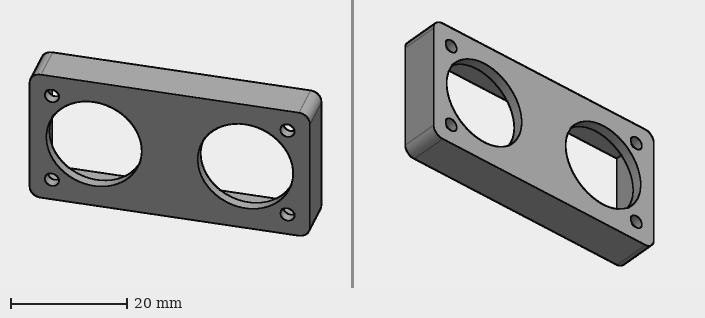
import cadquery as cq

LENGTH = 50.0
DEPTH = 7.5
HEIGHT = 25.0
CORNER_RADIUS = 2.0

SIDE_WALL = 2.0
FRONT_WALL = 2.0

OPENING_DIAMETER = 17.0
OPENING_SPACING = 27.0
SCREW_DIAMETER = 2.5
SCREW_SPACING_X = 42.0
SCREW_SPACING_Z = 17.0

FRONT_Y = -DEPTH / 2
CAVITY_DEPTH = DEPTH - FRONT_WALL


def make_body():
    """Block with its four edges along Y rounded."""
    return cq.Workplane("XY").box(LENGTH, DEPTH, HEIGHT).edges("|Y").fillet(CORNER_RADIUS)


def make_cavity():
    """Rectangular pocket running from the front wall to the open back."""
    return cq.Workplane("XY").box(
        LENGTH - 2 * SIDE_WALL, CAVITY_DEPTH, HEIGHT - 2 * SIDE_WALL
    ).translate((0, FRONT_WALL / 2, 0))


def make_wall_hole(diameter, x, z):
    """Cylinder along Y that pierces the front wall at (x, z)."""
    axis_start = cq.Vector(x, FRONT_Y, z)
    axis_direction = cq.Vector(0, 1, 0)
    return cq.Solid.makeCylinder(diameter / 2, FRONT_WALL, axis_start, axis_direction)


result = make_body().cut(make_cavity())

for side in (-1, 1):
    result = result.cut(make_wall_hole(OPENING_DIAMETER, side * OPENING_SPACING / 2, 0))
    for level in (-1, 1):
        screw_x = side * SCREW_SPACING_X / 2
        screw_z = level * SCREW_SPACING_Z / 2
        result = result.cut(make_wall_hole(SCREW_DIAMETER, screw_x, screw_z))